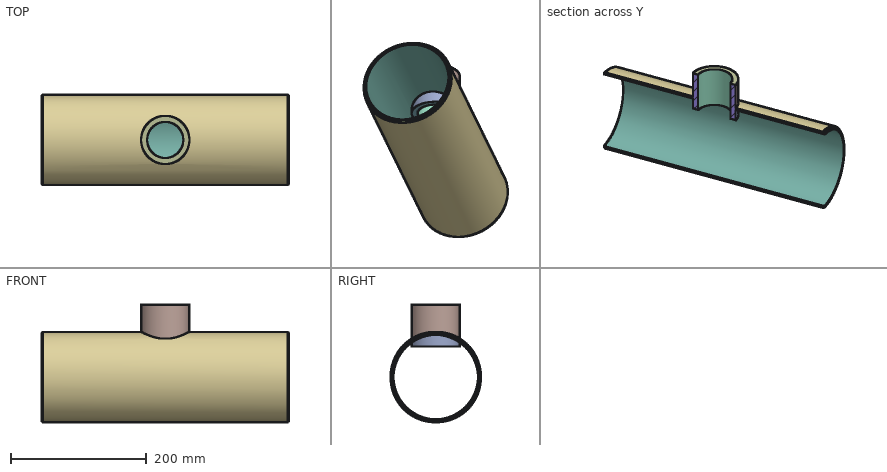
import cadquery as cq

pipe_length = 364.5
pipe_outer_diameter = 133.5
pipe_bore_diameter = 124.3
bevel_depth = 2.2
bevel_length = 2.5

branch_outer_diameter = 71.0
branch_bore_diameter = 53.2
branch_length = 62.0
branch_top = 106.8
branch_bottom = branch_top - branch_length


def revolved_pipe():
    """Pipe along X with a bevel on the outer edge of both ends."""
    half_length = pipe_length / 2
    outer_radius = pipe_outer_diameter / 2
    bore_radius = pipe_bore_diameter / 2
    wall_section = (
        cq.Workplane("XZ")
        .moveTo(-half_length, bore_radius)
        .lineTo(-half_length, outer_radius - bevel_depth)
        .lineTo(-half_length + bevel_length, outer_radius)
        .lineTo(half_length - bevel_length, outer_radius)
        .lineTo(half_length, outer_radius - bevel_depth)
        .lineTo(half_length, bore_radius)
        .close()
    )
    return wall_section.revolve(360, (0, 0, 0), (1, 0, 0))


def branch_cylinder(diameter):
    """Solid cylinder along Z, spanning the full height of the branch."""
    return cq.Workplane("XY").workplane(offset=branch_bottom).circle(diameter / 2).extrude(branch_length)


result = revolved_pipe().union(branch_cylinder(branch_outer_diameter))
result = result.cut(branch_cylinder(branch_bore_diameter))